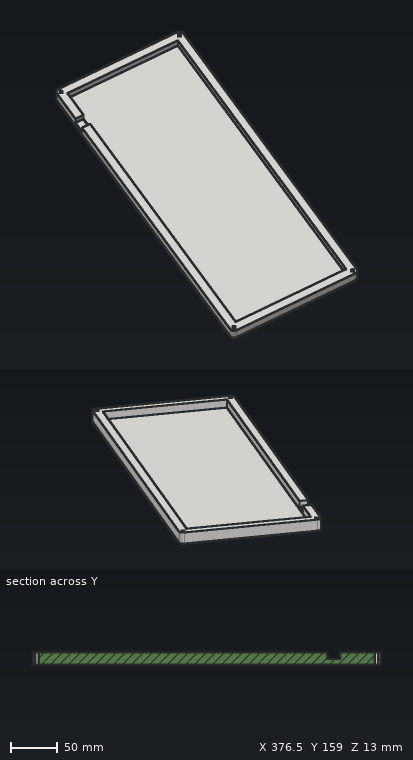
import cadquery as cq

length = 376.5
width = 159.0
height = 13.0
corner_radius = 5.0

rim = 10.0
floor = 3.8

hole_diameter = 3.5
hole_inset = 5.0

notch_width = 14.0
notch_depth = 7.0
notch_start = 44.0


def tray_body():
    """Block with rounded vertical corners and a square-cornered pocket."""
    block = cq.Workplane("XY").box(length, width, height, centered=(True, True, False))
    block = block.edges("|Z").fillet(corner_radius)
    pocket = (
        cq.Workplane("XY")
        .workplane(offset=floor)
        .rect(length - 2 * rim, width - 2 * rim)
        .extrude(height - floor)
    )
    return block.cut(pocket)


def corner_holes():
    """Through holes, one in each corner of the rim."""
    return (
        cq.Workplane("XY")
        .rect(length - 2 * hole_inset, width - 2 * hole_inset, forConstruction=True)
        .vertices()
        .circle(hole_diameter / 2)
        .extrude(height)
    )


def cable_notch():
    """Rectangular notch, open at the top, across the front rim."""
    return cq.Workplane("XY").box(notch_width, rim, notch_depth, centered=False).translate(
        (notch_start - length / 2, -width / 2, height - notch_depth)
    )


result = tray_body().cut(corner_holes()).cut(cable_notch())